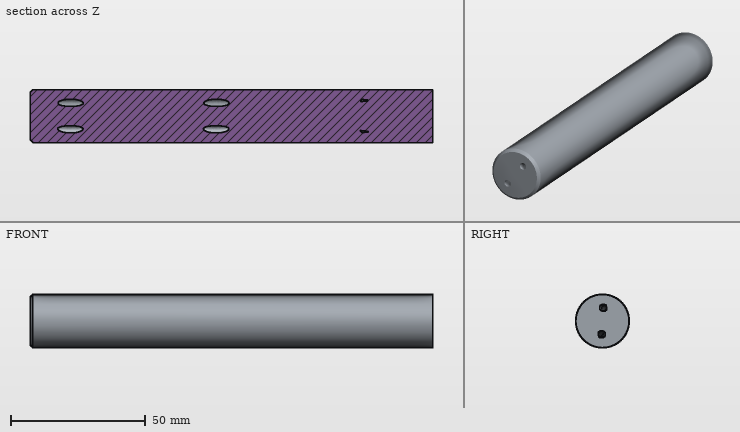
import cadquery as cq
import math

length = 150.0
diameter = 20.0
end_chamfer = 1.0

channel_diameter = 2.5
channel_radius = 5.0
channel_angle = 50.0
helix_angle = 30.0
helix_pitch = math.pi * diameter / math.tan(math.radians(helix_angle))
overrun = 1.5

start_x = -length / 2


def make_bar():
    bar = cq.Workplane("YZ", origin=(start_x, 0, 0)).circle(diameter / 2).extrude(length)
    return bar.faces("<X").chamfer(end_chamfer)


def make_channel(start_angle):
    """Right-hand helical channel whose centre meets the chamfered end at start_angle."""
    path_length = length + 2 * overrun
    path = cq.Workplane(cq.Wire.makeHelix(helix_pitch, path_length, channel_radius))
    lean = math.degrees(math.atan2(2 * math.pi * channel_radius, helix_pitch))
    channel = (
        cq.Workplane("XY", origin=(channel_radius, 0, 0))
        .transformed(rotate=(-lean, 0, 0))
        .circle(channel_diameter / 2)
        .sweep(path, isFrenet=True)
    )
    overrun_turn = 360 * overrun / helix_pitch
    return (
        channel.rotate((0, 0, 0), (0, 0, 1), start_angle - overrun_turn)
        .rotate((0, 0, 0), (1, 1, 1), 120)
        .translate((start_x - overrun, 0, 0))
    )


first_start = 180 - channel_angle
result = make_bar()
for start in (first_start, first_start + 180):
    result = result.cut(make_channel(start))